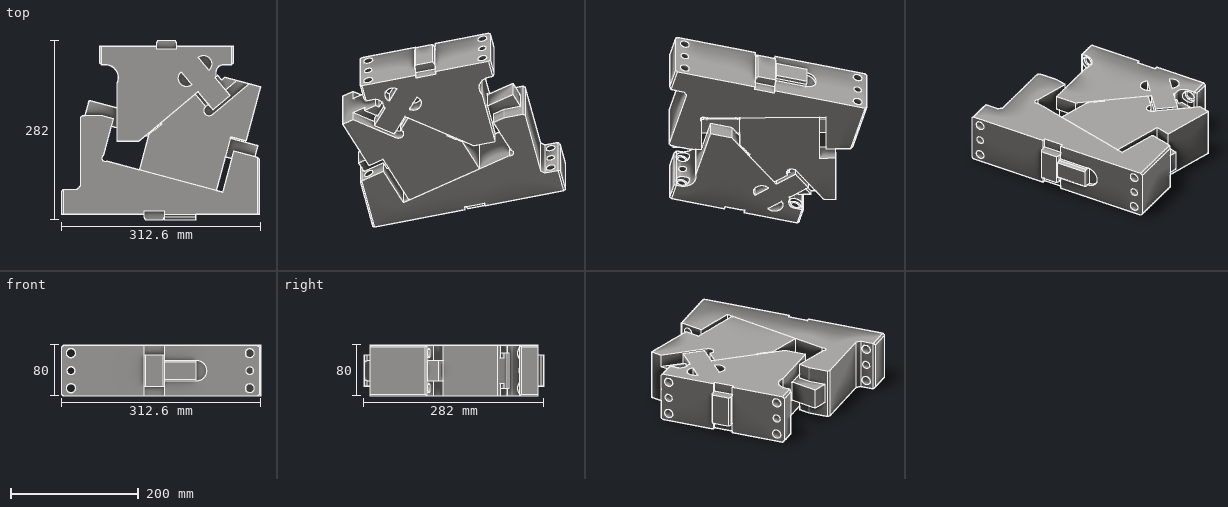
import cadquery as cq
import math


THICKNESS = 80.0
HALF = THICKNESS / 2
SHUT_HEIGHT = 264.0
EDGE_CHAMFER = 3.0
BED_ANGLE = 15.0
CONTACT_ANGLE = 40.0

KEY_WIDTH = 32.0
KEY_HEIGHT = 49.5
KEY_SEAT = 5.0
KEY_PROJECTION = 9.0
KEY_CHAMFER_ACROSS = 2.2
KEY_CHAMFER_DEEP = 4.6
SCREW_DIAMETER = 14.0
DOWEL_DIAMETER = 12.0
SCREW_LEVELS = (-27.5, 27.5)
HEAD_DIAMETER = 20.0
HEAD_DEPTH = 6.0

BASE_LENGTH = 310.4
FOOT_HEIGHT = 39.2
COLUMN_LEFT = 29.7
COLUMN_TOP = 154.8
COLUMN_ROOT_CHAMFER = 5.5
BASE_HOLE_INSET = 15.0
BASE_KEY_CENTER = 145.5
TONGUE_END = 211.0
TONGUE_GROOVE_CENTER = 212.0

BED_LEVEL = 99.2
BED_LEFT = 40.0
BED_RIGHT = 235.3
BED_WALL_TOP = 166.0
RELIEF_RADIUS = 5.0

BAR_LEFT = -4.5
BAR_RIGHT = 270.0
BAR_BOTTOM = 153.5
BAR_TOP = 184.0
BAR_THICKNESS = 32.0

SLIDER_LEFT = 100.0
SLIDER_RIGHT = 225.3
LEDGE_LEVEL = 186.0
LEDGE_RIGHT = 250.2
SLIDER_HEIGHT = 175.0
SLIDER_TOP = BED_LEVEL + SLIDER_HEIGHT

CONTACT_DEPTH = -9.6
SHOULDER_DEPTH = 0.0
TOE_END = 196.5
TOE_DEPTH = -8.1
TOE_GROOVE_END = 212.0
TOE_GROOVE_DEPTH = -7.3
CONTACT_REACH = 400.0
HOOK_CENTER = 305.0
HOOK_WIDTH = 35.0
HOOK_START = HOOK_CENTER - HOOK_WIDTH / 2
HOOK_STOP = HOOK_CENTER + HOOK_WIDTH / 2
HOOK_END = 27.2
RECESS_WIDTH = 46.0
RECESS_FLOOR = 28.0
CHANNEL_NEAR = 16.0
CHANNEL_FAR = 32.4
CHANNEL_FLOOR = 20.0
HOOK_RELIEF_RADIUS = 13.0
HOOK_RELIEF_DEPTH = -37.5

DRIVER_LEFT = 60.0
DRIVER_LENGTH = 209.7
DRIVER_RIGHT = DRIVER_LEFT + DRIVER_LENGTH
EAR_THICKNESS = 29.5
EAR_FACE = SHUT_HEIGHT - EAR_THICKNESS
DRIVER_BODY_LEFT = 86.8
DRIVER_BODY_RIGHT = 242.6
DRIVER_BOTTOM = 114.3
LEFT_ROOT_RADIUS = 20.0
LEFT_ROOT_CENTER = 69.0
RIGHT_ROOT_RADIUS = 12.0
DRIVER_HOLE_INSET = 13.0


def bed_point(p, q):
    """Point given along the bed (p) and square to it (q)."""
    a = math.radians(BED_ANGLE)
    return (p * math.cos(a) + q * math.sin(a), q * math.cos(a) - p * math.sin(a))


def contact_point(t, n):
    """Point given along the contact face (t) and into the slider (n)."""
    a = math.radians(CONTACT_ANGLE)
    return (t * math.cos(a) + n * math.sin(a), t * math.sin(a) - n * math.cos(a))


def slab(points, z_low=-HALF, z_high=HALF):
    return cq.Workplane("XY", origin=(0, 0, z_low)).polyline(points).close().extrude(z_high - z_low)


def bed_block(p0, p1, q0, q1, thickness):
    corners = [bed_point(p0, q0), bed_point(p1, q0), bed_point(p1, q1), bed_point(p0, q1)]
    return slab(corners, -thickness / 2, thickness / 2)


def contact_block(t0, t1, n0, n1, z_low, z_high):
    corners = [contact_point(t0, n0), contact_point(t1, n0), contact_point(t1, n1), contact_point(t0, n1)]
    return slab(corners, z_low, z_high)


def cylinder(x, y, radius, z_low, z_high):
    return cq.Workplane("XY", origin=(x, y, z_low)).circle(radius).extrude(z_high - z_low)


def both_sides(shape):
    """The shape together with its mirror image below the middle plane."""
    return shape.union(shape.mirror("XY"))


def key_seat(x, face):
    """Groove over the full thickness, centred on the face so that half of it cuts in."""
    return cq.Workplane("XY").box(KEY_WIDTH, 2 * KEY_SEAT, THICKNESS).translate((x, face, 0))


def key(x, face, outward):
    """Mounting key seated in a face; outward is the Y sign of its protruding end."""
    half = KEY_WIDTH / 2
    tip = face + outward * KEY_PROJECTION
    shoulder = tip - outward * KEY_CHAMFER_DEEP
    seat = face - outward * KEY_SEAT
    inner = half - KEY_CHAMFER_ACROSS
    outline = [(x - half, seat), (x + half, seat), (x + half, shoulder),
               (x + inner, tip), (x - inner, tip), (x - half, shoulder)]
    return slab(outline, -KEY_HEIGHT / 2, KEY_HEIGHT / 2)


def y_cylinders(x, z_positions, diameter, y_low, y_high):
    return (cq.Workplane("XZ", origin=(x, y_low, 0)).pushPoints([(0, z) for z in z_positions])
            .circle(diameter / 2).extrude(y_low - y_high))


def screw_holes(x, y_low, y_high):
    """Two screw holes with a dowel hole between them, running along Y."""
    screws = y_cylinders(x, SCREW_LEVELS, SCREW_DIAMETER, y_low, y_high)
    return screws.union(y_cylinders(x, [0], DOWEL_DIAMETER, y_low, y_high))


def end_chamfer_envelope(x0, x1):
    """Block over the whole shut height whose X ends are chamfered top and bottom."""
    return (cq.Workplane("XY").box(x1 - x0, SHUT_HEIGHT, THICKNESS, centered=(False, False, True))
            .edges("|Y").chamfer(EDGE_CHAMFER).translate((x0, 0, 0)))


def base_profile():
    c = EDGE_CHAMFER
    r = COLUMN_ROOT_CHAMFER
    a = math.radians(BED_ANGLE)
    left_slope_x = (BED_WALL_TOP - COLUMN_TOP * math.cos(a)) / math.sin(a)
    right_slope_x = BASE_LENGTH - c
    right_slope_y = (BED_WALL_TOP - right_slope_x * math.sin(a)) / math.cos(a)
    return [
        (0, 0), (BASE_LENGTH, 0),
        (BASE_LENGTH, right_slope_y - c), (right_slope_x, right_slope_y),
        bed_point(BED_RIGHT, BED_WALL_TOP), bed_point(BED_RIGHT, BED_LEVEL),
        bed_point(BED_LEFT, BED_LEVEL), bed_point(BED_LEFT, BED_WALL_TOP),
        (left_slope_x, COLUMN_TOP), (COLUMN_LEFT + c, COLUMN_TOP), (COLUMN_LEFT, COLUMN_TOP - c),
        (COLUMN_LEFT, FOOT_HEIGHT + r), (COLUMN_LEFT - r, FOOT_HEIGHT),
        (c, FOOT_HEIGHT), (0, FOOT_HEIGHT - c),
    ]


def bed_corner_relief():
    """Relief hole through the bed's left corner, its edge passing through the corner."""
    offset = RELIEF_RADIUS / math.sqrt(2)
    x, y = bed_point(BED_LEFT + offset, BED_LEVEL + offset)
    return cylinder(x, y, RELIEF_RADIUS, -HALF, HALF)


def tongue_groove():
    """Round-ended groove running along X from the base's key seat."""
    length = TONGUE_GROOVE_CENTER - BASE_KEY_CENTER
    return (cq.Workplane("XZ").center(BASE_KEY_CENTER + length / 2, 0)
            .slot2D(length + KEY_WIDTH, KEY_WIDTH).extrude(-KEY_SEAT))


def tongue():
    """Chamfered bar lying in the groove beside the key."""
    start = BASE_KEY_CENTER + KEY_WIDTH / 2
    half = KEY_WIDTH / 2
    inner = half - KEY_CHAMFER_ACROSS
    tip = -KEY_PROJECTION
    shoulder = tip + KEY_CHAMFER_DEEP
    section = [(KEY_SEAT, -half), (KEY_SEAT, half), (shoulder, half),
               (tip, inner), (tip, -inner), (shoulder, -half)]
    return cq.Workplane("YZ", origin=(start, 0, 0)).polyline(section).close().extrude(TONGUE_END - start)


def make_base():
    body = slab(base_profile()).intersect(end_chamfer_envelope(0, BASE_LENGTH))
    body = body.cut(bed_corner_relief())
    for x in (BASE_HOLE_INSET, BASE_LENGTH - BASE_HOLE_INSET):
        body = body.cut(screw_holes(x, 0, COLUMN_TOP))
    body = body.union(bed_block(BAR_LEFT, BAR_RIGHT, BAR_BOTTOM, BAR_TOP, BAR_THICKNESS))
    body = body.cut(key_seat(BASE_KEY_CENTER, 0)).cut(tongue_groove())
    return body.union(key(BASE_KEY_CENTER, 0, -1)).union(tongue())


def slider_profile():
    g = math.radians(BED_ANGLE + CONTACT_ANGLE)
    toe_level = (SLIDER_LEFT * math.sin(g) - CONTACT_DEPTH) / math.cos(g)
    heel_p = (SLIDER_TOP * math.cos(g) + CONTACT_DEPTH) / math.sin(g)
    return [
        bed_point(SLIDER_LEFT, BED_LEVEL), bed_point(SLIDER_RIGHT, BED_LEVEL),
        bed_point(SLIDER_RIGHT, LEDGE_LEVEL), bed_point(LEDGE_RIGHT, LEDGE_LEVEL),
        bed_point(LEDGE_RIGHT, SLIDER_TOP), bed_point(heel_p, SLIDER_TOP),
        bed_point(SLIDER_LEFT, toe_level),
    ]


def hook_recess():
    """Shallow recess below the hook's arm and the deeper round-ended channel for its lip."""
    start = HOOK_CENTER - RECESS_WIDTH / 2
    recess = contact_block(start, CONTACT_REACH, CONTACT_DEPTH, CHANNEL_NEAR, RECESS_FLOOR, HALF)
    channel = contact_block(start, CONTACT_REACH, CHANNEL_NEAR, CHANNEL_FAR, CHANNEL_FLOOR, HALF)
    end_x, end_y = contact_point(start, (CHANNEL_NEAR + CHANNEL_FAR) / 2)
    round_end = cylinder(end_x, end_y, (CHANNEL_FAR - CHANNEL_NEAR) / 2, CHANNEL_FLOOR, HALF)
    return both_sides(recess.union(channel).union(round_end))


def make_slider():
    shoulder = HOOK_CENTER + RECESS_WIDTH / 2
    contact_cuts = [
        (0, TOE_END, TOE_DEPTH),
        (TOE_END, TOE_GROOVE_END, TOE_GROOVE_DEPTH),
        (shoulder, CONTACT_REACH, SHOULDER_DEPTH),
    ]
    body = slab(slider_profile())
    for start, end, depth in contact_cuts:
        body = body.cut(contact_block(start, end, CONTACT_DEPTH, depth, -HALF, HALF))
    body = body.cut(bed_block(SLIDER_LEFT, LEDGE_RIGHT, BAR_BOTTOM, LEDGE_LEVEL, BAR_THICKNESS))
    return body.cut(hook_recess())


def driver_blank():
    c = EDGE_CHAMFER
    r = LEFT_ROOT_RADIUS
    k = RIGHT_ROOT_RADIUS
    root_y = EAR_FACE - r
    root_drop = math.sqrt(r ** 2 - (DRIVER_BODY_LEFT - LEFT_ROOT_CENTER) ** 2)
    a = math.radians(CONTACT_ANGLE)
    toe_x = (DRIVER_BOTTOM + CONTACT_DEPTH / math.cos(a)) / math.tan(a)
    heel_y = DRIVER_BODY_RIGHT * math.tan(a) - CONTACT_DEPTH / math.cos(a)
    return (
        cq.Workplane("XY", origin=(0, 0, -HALF))
        .moveTo(DRIVER_LEFT, SHUT_HEIGHT)
        .lineTo(DRIVER_LEFT, EAR_FACE + c)
        .lineTo(DRIVER_LEFT + c, EAR_FACE)
        .lineTo(LEFT_ROOT_CENTER, EAR_FACE)
        .radiusArc((LEFT_ROOT_CENTER + r, root_y), r)
        .radiusArc((DRIVER_BODY_LEFT, root_y - root_drop), r)
        .lineTo(DRIVER_BODY_LEFT, DRIVER_BOTTOM)
        .lineTo(toe_x, DRIVER_BOTTOM)
        .lineTo(DRIVER_BODY_RIGHT, heel_y)
        .lineTo(DRIVER_BODY_RIGHT, EAR_FACE - k)
        .radiusArc((DRIVER_BODY_RIGHT + k, EAR_FACE), k)
        .lineTo(DRIVER_RIGHT - c, EAR_FACE)
        .lineTo(DRIVER_RIGHT, EAR_FACE + c)
        .lineTo(DRIVER_RIGHT, SHUT_HEIGHT)
        .close()
        .extrude(THICKNESS)
        .intersect(end_chamfer_envelope(DRIVER_LEFT, DRIVER_RIGHT))
    )


def ear_holes(x):
    """Screw and dowel holes through an ear, the screw holes counterbored from below."""
    start = EAR_FACE - RIGHT_ROOT_RADIUS
    heads = y_cylinders(x, SCREW_LEVELS, HEAD_DIAMETER, start, EAR_FACE + HEAD_DEPTH)
    return screw_holes(x, start, SHUT_HEIGHT).union(heads)


def return_hook():
    """Arm over the slider's recess with a lip reaching down into its channel."""
    arm = contact_block(HOOK_START, HOOK_STOP, CONTACT_DEPTH, HOOK_END, RECESS_FLOOR, HALF)
    lip = contact_block(HOOK_START, HOOK_STOP, CHANNEL_NEAR, HOOK_END, CHANNEL_FLOOR, HALF)
    return both_sides(arm.union(lip))


def hook_relief(t):
    """Half-round pocket beside the strip that continues the hook's arm, at the edge t."""
    x, y = contact_point(t, HOOK_RELIEF_DEPTH)
    disc = cylinder(x, y, HOOK_RELIEF_RADIUS, CHANNEL_FLOOR, HALF)
    strip = contact_block(HOOK_START, HOOK_STOP, 2 * HOOK_RELIEF_DEPTH, 0, CHANNEL_FLOOR, HALF)
    return both_sides(disc.cut(strip))


def make_driver():
    middle = (DRIVER_LEFT + DRIVER_RIGHT) / 2
    body = driver_blank().cut(key_seat(middle, SHUT_HEIGHT)).union(key(middle, SHUT_HEIGHT, 1))
    for x in (DRIVER_LEFT + DRIVER_HOLE_INSET, DRIVER_RIGHT - DRIVER_HOLE_INSET):
        body = body.cut(ear_holes(x))
    body = body.cut(bed_block(BAR_LEFT, BAR_RIGHT, BED_LEVEL, LEDGE_LEVEL, BAR_THICKNESS))
    for t in (HOOK_START, HOOK_STOP):
        body = body.cut(hook_relief(t))
    return body.union(return_hook())


base = make_base()
slider = make_slider()
driver = make_driver()

result = cq.Compound.makeCompound([*base.solids().vals(), *slider.solids().vals(), *driver.solids().vals()])